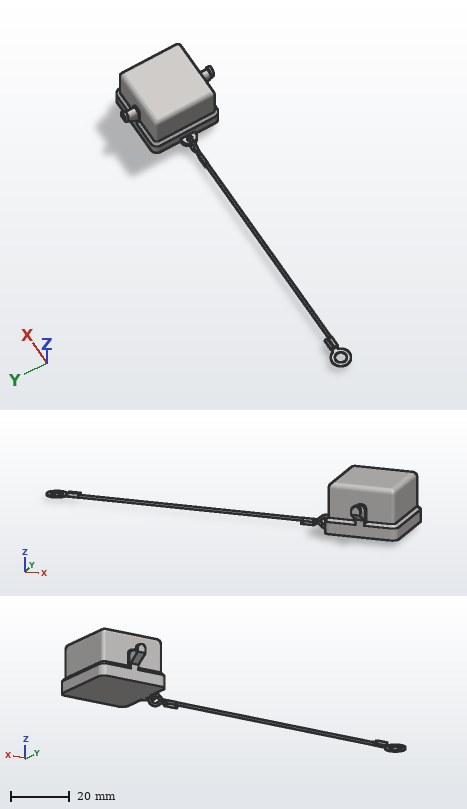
import cadquery as cq
import math


overall_length = 130.7

flange_side = 26.4
flange_height = 4.3
flange_corner_radius = 2.4
hood_side = 24.0
hood_top = 17.6
hood_top_rounding = 1.8
flange_half = flange_side / 2
hood_half = hood_side / 2
flange_step = flange_half - hood_half
hood_corner_radius = flange_corner_radius - flange_step

peg_tip = 17.5
peg_width = 3.1
peg_axis_height = 9.5
lip_thickness = 1.2
lip_top = 12.2
lip_bottom = 9.2
web_bottom = 6.1
pad_width = 3.9
pad_thickness = 0.4

tab_radius = 2.9
tab_center_x = -13.7
tab_thickness = 1.6
tab_hole_radius = 0.98
tab_hole_x = -14.6

wire_radius = 0.5
wire_height = 0.1
loop_radius = 2.0
loop_center_x = -16.7
loop_leg_reach = 3.1
knot_x = loop_center_x - loop_leg_reach
knot_radius = 0.59

ferrule_start_x = -25.1
ferrule_length = 3.8
ferrule_radius = 0.59
ferrule_pitch = 1.11
wire_end_overhang = 0.7
ferrule_end_x = ferrule_start_x + ferrule_length

eyelet_diameter = 6.9
eyelet_hole_diameter = 4.0
eyelet_thickness = 0.4
eyelet_center_x = flange_half - overall_length + eyelet_diameter / 2
eyelet_bottom = wire_height - wire_radius
crimp_start_x = -110.0
crimp_length = 4.0
crimp_radius = 0.7
crimp_pitch = 1.6
crimp_axis_height = eyelet_bottom + crimp_radius
eyelet_y = crimp_pitch / 2
tongue_width = 2.1


def square_block(side, height, corner_radius):
    """Square block standing on Z = 0, centred on the Z axis, with rounded upright edges."""
    block = cq.Workplane("XY").rect(side, side).extrude(height)
    return block.edges("|Z").fillet(corner_radius)


def rod(start, end, radius):
    """Round rod between two points."""
    direction = cq.Vector(*end) - cq.Vector(*start)
    return cq.Workplane(cq.Solid.makeCylinder(radius, direction.Length, cq.Vector(*start), direction))


def arched_plate(width, bottom, top, y_inner, y_outer):
    """Upright plate facing +Y whose top edge is a half circle across its width."""
    half = width / 2
    return (
        cq.Workplane("XZ", origin=(0, y_outer, 0))
        .moveTo(-half, bottom)
        .lineTo(half, bottom)
        .lineTo(half, top - half)
        .threePointArc((0, top), (-half, top - half))
        .close()
        .extrude(y_outer - y_inner)
    )


def make_cover():
    flange = square_block(flange_side, flange_height + flange_step, flange_corner_radius)
    flange = flange.faces(">Z").edges().chamfer(flange_step)
    hood = square_block(hood_side, hood_top, hood_corner_radius)
    hood = hood.faces(">Z").edges().fillet(hood_top_rounding)
    return flange.union(hood)


def make_peg():
    """Peg on the +Y side: wall pad, round pin on a sloped web, and end lip."""
    pad_top = peg_axis_height + pad_width / 2
    pad = arched_plate(pad_width, flange_height, pad_top, 0, hood_half + pad_thickness)
    pin = arched_plate(peg_width, lip_bottom, peg_axis_height + peg_width / 2, 0, peg_tip)
    lip = arched_plate(peg_width, lip_bottom, lip_top, peg_tip - lip_thickness, peg_tip)
    web = (
        cq.Workplane("YZ")
        .polyline([
            (0, 0),
            (flange_half, 0),
            (flange_half, web_bottom),
            (peg_tip, lip_bottom),
            (peg_tip, peg_axis_height),
            (0, peg_axis_height),
        ])
        .close()
        .extrude(peg_width / 2, both=True)
    )
    return pad.union(pin).union(lip).union(web)


def make_tab():
    tab = cq.Workplane("XY").center(tab_center_x, 0).circle(tab_radius).extrude(tab_thickness)
    root = (
        cq.Workplane("XY")
        .center(tab_center_x / 2, 0)
        .rect(-tab_center_x, 2 * tab_radius)
        .extrude(tab_thickness)
    )
    hole = cq.Workplane("XY").center(tab_hole_x, 0).circle(tab_hole_radius).extrude(tab_thickness)
    return tab.union(root).cut(hole)


def make_loop():
    """Teardrop of wire: two straight legs from the knot, tangent to a round bend."""
    tangent_angle = math.acos(loop_radius / loop_leg_reach)
    tangent_x = -loop_radius * math.cos(tangent_angle)
    tangent_z = loop_radius * math.sin(tangent_angle)
    center = cq.Vector(loop_center_x, 0, wire_height)
    loop = cq.Workplane(cq.Solid.makeTorus(loop_radius, wire_radius, center, cq.Vector(0, 1, 0)))
    gap_reach = 3
    open_side = (
        cq.Workplane("XZ", origin=(loop_center_x, 0, wire_height))
        .polyline([
            (0, 0),
            (gap_reach * tangent_x, gap_reach * tangent_z),
            (gap_reach * tangent_x, -gap_reach * tangent_z),
        ])
        .close()
        .extrude(2 * wire_radius, both=True)
    )
    loop = loop.cut(open_side)
    knot = (knot_x, 0, wire_height)
    for side in (1, -1):
        leg_start = (loop_center_x + tangent_x, 0, wire_height + side * tangent_z)
        loop = loop.union(rod(leg_start, knot, wire_radius))
    return loop.union(cq.Workplane("XY").sphere(knot_radius).translate(knot))


def make_ferrule():
    """Two stacked lobes around the wire and its return end, which bends down from the knot."""
    return_height = wire_height - ferrule_pitch
    ferrule = rod((ferrule_start_x, 0, wire_height), (ferrule_end_x, 0, wire_height), ferrule_radius)
    ferrule = ferrule.union(
        rod((ferrule_start_x, 0, return_height), (ferrule_end_x, 0, return_height), ferrule_radius)
    )
    wire_end_x = ferrule_start_x - wire_end_overhang
    bend = (ferrule_end_x, 0, return_height)
    ferrule = ferrule.union(rod((wire_end_x, 0, return_height), bend, wire_radius))
    ferrule = ferrule.union(cq.Workplane("XY").sphere(wire_radius).translate(bend))
    return ferrule.union(rod(bend, (knot_x, 0, wire_height), wire_radius))


def make_eyelet():
    ring_plane = cq.Workplane("XY", origin=(eyelet_center_x, eyelet_y, eyelet_bottom))
    tongue_length = crimp_start_x + crimp_length - eyelet_center_x
    tongue = (
        ring_plane.center(tongue_length / 2, 0)
        .rect(tongue_length, tongue_width)
        .extrude(eyelet_thickness)
    )
    eyelet = ring_plane.circle(eyelet_diameter / 2).extrude(eyelet_thickness).union(tongue)
    eyelet = eyelet.cut(ring_plane.circle(eyelet_hole_diameter / 2).extrude(eyelet_thickness))
    for lobe_y in (0, crimp_pitch):
        lobe_start = (crimp_start_x, lobe_y, crimp_axis_height)
        lobe_end = (crimp_start_x + crimp_length, lobe_y, crimp_axis_height)
        eyelet = eyelet.union(rod(lobe_start, lobe_end, crimp_radius))
    return eyelet


peg = make_peg()
wire = rod((crimp_start_x, 0, wire_height), (knot_x, 0, wire_height), wire_radius)

result = make_cover().union(peg).union(peg.mirror("XZ")).union(make_tab())
for tether_piece in (make_loop(), wire, make_ferrule(), make_eyelet()):
    result = result.union(tether_piece)